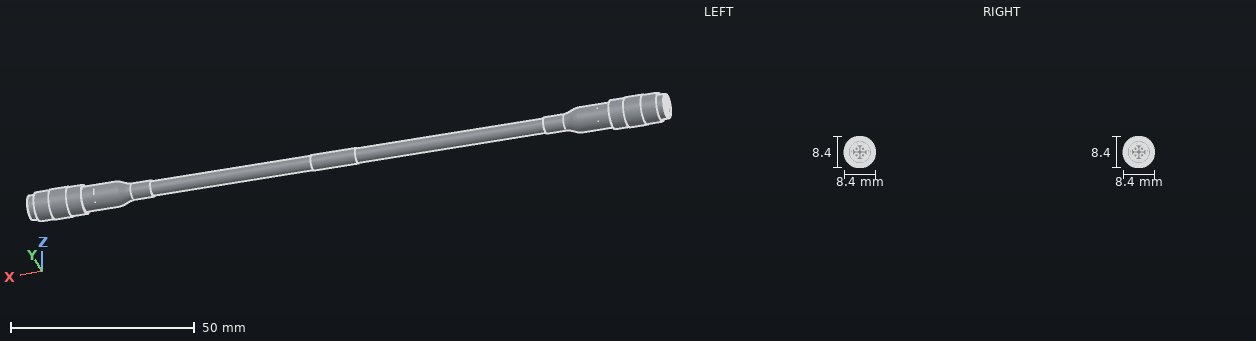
import cadquery as cq

TOTAL_LENGTH = 181.95
HALF_LENGTH = TOTAL_LENGTH / 2

GRIP_RADIUS = 4.2
SHELL_RADIUS = 4.05
NOSE_RADIUS = 3.45
NOSE_LENGTH = 2.1
NOSE_CHAMFER = 0.25
SHELL_CHAMFER_LENGTH = 0.35
SHELL_CHAMFER_DEPTH = 0.1
GRIP_START = 6.45
GRIP_END = 11.45
HOUSING_END = 15.65
SPIGOT_RADIUS = 3.15
SPIGOT_LENGTH = 3.5

RELIEF_OUTER_RADIUS = 3.75
RELIEF_DEPTH = 0.9

COUNTERSINK_RADIUS = 2.6
COUNTERSINK_DEPTH = 0.3
COUNTERSINK_FLOOR_RADIUS = 2.1
CONTACT_COUNT = 4
CONTACT_START_ANGLE = 45
CONTACT_CIRCLE_RADIUS = 1.25
CONTACT_HOLE_DIAMETER = 1.1
CONTACT_HOLE_DEPTH = 4.0

BOOT_RADIUS = 3.5
SHOULDER_START = 24.9
SHOULDER_END = 26.05
SHOULDER_RADIUS = 3.3
NECK_START = 28.05
NECK_RADIUS = 2.5
SLEEVE_START = 29.2
SLEEVE_RADIUS = 2.3
BOOT_END = 34.9

CABLE_RADIUS = 2.03
LABEL_RADIUS = 2.18
LABEL_LENGTH = 12.7
LABEL_CENTER = 4.0
CABLE_END = SLEEVE_START


def turned(profile, side):
    """Revolve (distance from the end, radius) points about X, at the -X (side -1) or +X (+1) end."""
    points = [(side * (HALF_LENGTH - distance), radius) for distance, radius in profile]
    return cq.Workplane("XZ").polyline(points).close().revolve(360, (0, 0, 0), (1, 0, 0))


def make_plug_housing(side):
    spigot_end = HOUSING_END + SPIGOT_LENGTH
    housing = turned(
        [
            (COUNTERSINK_DEPTH, 0),
            (COUNTERSINK_DEPTH, COUNTERSINK_FLOOR_RADIUS),
            (0, COUNTERSINK_RADIUS),
            (0, NOSE_RADIUS - NOSE_CHAMFER),
            (NOSE_CHAMFER, NOSE_RADIUS),
            (NOSE_LENGTH + RELIEF_DEPTH, NOSE_RADIUS),
            (NOSE_LENGTH, RELIEF_OUTER_RADIUS),
            (NOSE_LENGTH, SHELL_RADIUS - SHELL_CHAMFER_DEPTH),
            (NOSE_LENGTH + SHELL_CHAMFER_LENGTH, SHELL_RADIUS),
            (GRIP_START, SHELL_RADIUS),
            (GRIP_START, GRIP_RADIUS),
            (GRIP_END, GRIP_RADIUS),
            (GRIP_END, SHELL_RADIUS),
            (HOUSING_END, SHELL_RADIUS),
            (HOUSING_END, SPIGOT_RADIUS),
            (spigot_end, SPIGOT_RADIUS),
            (spigot_end, 0),
        ],
        side,
    )
    holes = (
        cq.Workplane("YZ", origin=(side * (HALF_LENGTH - CONTACT_HOLE_DEPTH), 0, 0))
        .polarArray(CONTACT_CIRCLE_RADIUS, CONTACT_START_ANGLE, 360, CONTACT_COUNT)
        .circle(CONTACT_HOLE_DIAMETER / 2)
        .extrude(side * CONTACT_HOLE_DEPTH)
    )
    return housing.cut(holes)


def make_boot(side):
    socket_end = HOUSING_END + SPIGOT_LENGTH
    return turned(
        [
            (socket_end, 0),
            (socket_end, SPIGOT_RADIUS),
            (HOUSING_END, SPIGOT_RADIUS),
            (HOUSING_END, BOOT_RADIUS),
            (SHOULDER_START, BOOT_RADIUS),
            (SHOULDER_END, SHOULDER_RADIUS),
            (NECK_START, NECK_RADIUS),
            (SLEEVE_START, SLEEVE_RADIUS),
            (BOOT_END, SLEEVE_RADIUS),
            (BOOT_END, CABLE_RADIUS),
            (CABLE_END, CABLE_RADIUS),
            (CABLE_END, 0),
        ],
        side,
    )


def make_cable():
    label_start = LABEL_CENTER - LABEL_LENGTH / 2
    label_end = LABEL_CENTER + LABEL_LENGTH / 2
    half_cable = HALF_LENGTH - CABLE_END
    return (
        cq.Workplane("XZ")
        .moveTo(-half_cable, 0)
        .lineTo(-half_cable, CABLE_RADIUS)
        .lineTo(label_start, CABLE_RADIUS)
        .lineTo(label_start, LABEL_RADIUS)
        .lineTo(label_end, LABEL_RADIUS)
        .lineTo(label_end, CABLE_RADIUS)
        .lineTo(half_cable, CABLE_RADIUS)
        .lineTo(half_cable, 0)
        .close()
        .revolve(360, (0, 0, 0), (1, 0, 0))
    )


plug_housings = [make_plug_housing(side) for side in (-1, 1)]
boots = [make_boot(side) for side in (-1, 1)]
cable = make_cable()

result = cq.Compound.makeCompound(
    [body.val() for body in plug_housings + boots + [cable]]
)